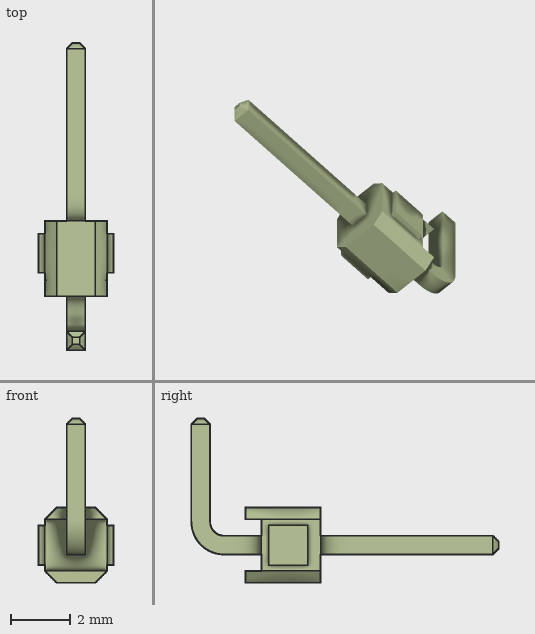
import cadquery as cq

pitch = 2.54
body_width = 2.10
body_depth = 2.00
flange_height = 0.40
flange_flat_width = 1.30
pad_depth = 1.32
pad_height = 1.34
pad_back_gap = 0.43

pin_size = 0.64
bend_inner_radius = 0.47
pin_length = 10.36
pin_back_reach = 6.00
pin_top = 4.27
tip_length = 0.20
tip_size = 0.24

housing_back = pitch / 2
body_center_y = housing_back - body_depth / 2
pad_center_y = housing_back - pad_back_gap - pad_depth / 2
half_pin = pin_size / 2
pin_back = housing_back + pin_back_reach
pin_front = pin_back - pin_length
upright_y = pin_front + half_pin
bend_outer_radius = bend_inner_radius + pin_size


def make_housing():
    """Middle block between two full-depth flanges with sloped sides."""
    inner_height = pitch - 2 * flange_height
    housing = cq.Workplane("XY").box(body_width, body_depth, inner_height)
    housing = housing.translate((0, body_center_y, 0))
    for side in (1, -1):
        inner_z = side * inner_height / 2
        outer_z = side * pitch / 2
        flange = (
            cq.Workplane("XZ", origin=(0, housing_back, 0))
            .polyline([
                (-body_width / 2, inner_z),
                (body_width / 2, inner_z),
                (flange_flat_width / 2, outer_z),
                (-flange_flat_width / 2, outer_z),
            ])
            .close()
            .extrude(pitch)
        )
        housing = housing.union(flange)
    pads = cq.Workplane("XY").box(pitch, pad_depth, pad_height)
    return housing.union(pads.translate((0, pad_center_y, 0)))


def make_tip(plane):
    """Tapered pin end that grows along the normal of the given plane."""
    return (
        cq.Workplane(plane)
        .rect(pin_size, pin_size)
        .workplane(offset=tip_length)
        .rect(tip_size, tip_size)
        .loft(ruled=True)
    )


def make_pin():
    """Square bar with one right-angle bend and a taper at both ends."""
    bar_back = pin_back - tip_length
    bar_top = pin_top - tip_length
    inner_corner_y = upright_y + half_pin
    bend_start_y = inner_corner_y + bend_inner_radius
    bend_end_z = half_pin + bend_inner_radius
    bar = (
        cq.Workplane("YZ", origin=(-half_pin, 0, 0))
        .moveTo(bar_back, half_pin)
        .lineTo(bend_start_y, half_pin)
        .radiusArc((inner_corner_y, bend_end_z), bend_inner_radius)
        .lineTo(inner_corner_y, bar_top)
        .lineTo(pin_front, bar_top)
        .lineTo(pin_front, bend_end_z)
        .radiusArc((bend_start_y, -half_pin), -bend_outer_radius)
        .lineTo(bar_back, -half_pin)
        .close()
        .extrude(pin_size)
    )
    back_plane = cq.Plane(origin=(0, bar_back, 0), xDir=(1, 0, 0), normal=(0, 1, 0))
    top_plane = cq.Plane(origin=(0, upright_y, bar_top), xDir=(1, 0, 0), normal=(0, 0, 1))
    return bar.union(make_tip(back_plane)).union(make_tip(top_plane))


result = make_housing().union(make_pin())